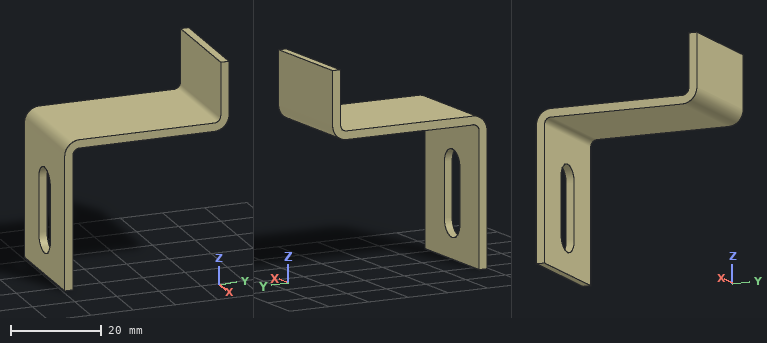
import cadquery as cq

width = 25.0
depth = 39.0
height = 49.0

thickness = 2.0
inner_radius = 1.5
outer_radius = inner_radius + thickness
shelf_top = 35.0
shelf_bottom = shelf_top - thickness

slot_width = 7.0
slot_length = 20.0
slot_bottom = 5.0
slot_center_z = slot_bottom + slot_length / 2


def bent_sheet():
    """Z profile in the YZ plane: front flange, shelf, rear flange; sharp bends are then rounded."""
    rear_inner = depth - thickness
    profile = [
        (0, 0),
        (thickness, 0),
        (thickness, shelf_bottom),
        (depth, shelf_bottom),
        (depth, height),
        (rear_inner, height),
        (rear_inner, shelf_top),
        (0, shelf_top),
    ]
    sheet = cq.Workplane("YZ").polyline(profile).close().extrude(width / 2, both=True)

    def round_bend(body, y, z, radius):
        edge = cq.selectors.NearestToPointSelector((0, y, z))
        return body.edges(edge).fillet(radius)

    sheet = round_bend(sheet, 0, shelf_top, outer_radius)
    sheet = round_bend(sheet, thickness, shelf_bottom, inner_radius)
    sheet = round_bend(sheet, depth, shelf_bottom, outer_radius)
    return round_bend(sheet, rear_inner, shelf_top, inner_radius)


def slot_cutter():
    """Obround running through the front flange along Y."""
    return (
        cq.Workplane("XZ", origin=(0, 0, slot_center_z))
        .slot2D(slot_length, slot_width, 90)
        .extrude(2 * thickness, both=True)
    )


result = bent_sheet().cut(slot_cutter())